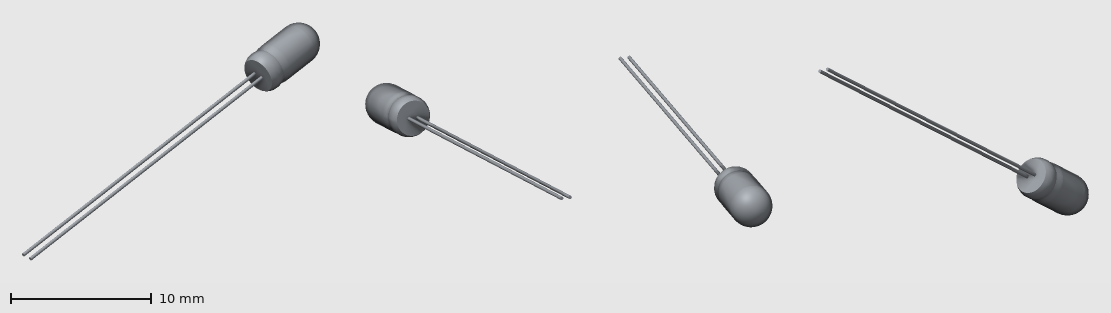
import cadquery as cq
import math

body_diameter = 3.05
body_length = 5.97
lead_length = 25.4
lead_diameter = 0.254
lead_spacing = 0.66

body_radius = body_diameter / 2
dome_radius = body_radius
base_radius = 1.29
neck_radius = 1.43
neck_height = 1.13
shoulder_length = 0.65
bead_radius = 1.52
bead_height = 0.70

overall_length = body_length + lead_length
base_y = lead_length - overall_length / 2
neck_y = base_y + neck_height
shoulder_y = neck_y + shoulder_length
bead_y = base_y + bead_height
tip_y = base_y + body_length
dome_y = tip_y - dome_radius


def make_body():
    """Domed cylinder with a shallow neck and a rounded bead above the flat base."""
    shoulder_depth = body_radius - neck_radius
    shoulder_arc_radius = (shoulder_length**2 + shoulder_depth**2) / (2 * shoulder_depth)
    half_angle = math.asin(shoulder_length / shoulder_arc_radius) / 2
    shoulder_mid = (
        -body_radius + shoulder_arc_radius * (1 - math.cos(half_angle)),
        shoulder_y - shoulder_arc_radius * math.sin(half_angle),
    )
    dome_mid = dome_radius * math.sqrt(0.5)
    outline = (
        cq.Workplane("XY")
        .moveTo(0, base_y)
        .lineTo(-base_radius, base_y)
        .threePointArc((-bead_radius, bead_y), (-neck_radius, neck_y))
        .threePointArc(shoulder_mid, (-body_radius, shoulder_y))
        .lineTo(-body_radius, dome_y)
        .threePointArc((-dome_mid, dome_y + dome_mid), (0, tip_y))
        .close()
    )
    return outline.revolve(360, (0, 0, 0), (0, 1, 0))


def make_lead(x):
    """Round wire running from the base toward -Y."""
    return (
        cq.Workplane("XZ", origin=(x, base_y, 0))
        .circle(lead_diameter / 2)
        .extrude(lead_length)
    )


result = make_body()
for side in (-1, 1):
    result = result.union(make_lead(side * lead_spacing / 2))